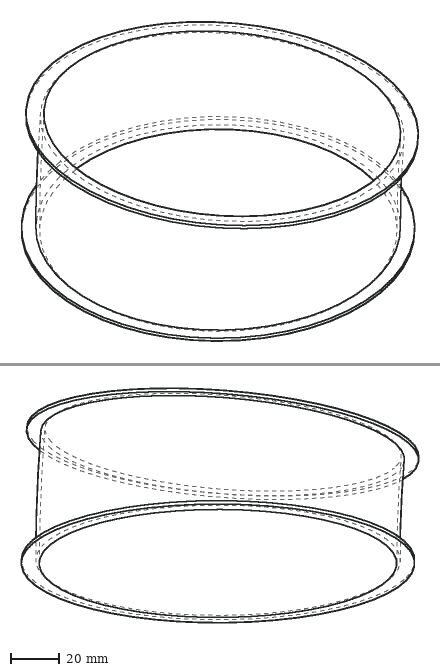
import cadquery as cq
import math

flange_diameter = 163.5
tube_outer_diameter = 151.5
wall = 1.5
flange_thickness = 1.5
bend_angle = 5.0
overall_height = 59.7

bend_radians = math.radians(bend_angle)
rim_rise = flange_diameter / 2 * math.sin(bend_radians)
top_center_z = overall_height - rim_rise
bend_radius = top_center_z / math.sin(bend_radians)
top_center_y = bend_radius * (1 - math.cos(bend_radians))

bore_diameter = tube_outer_diameter - 2 * wall


def bent_cylinder(diameter):
    """Sweep a disc around the bend axis, which is parallel to X."""
    return (
        cq.Workplane("XY")
        .circle(diameter / 2)
        .revolve(bend_angle, (0, bend_radius, 0), (-1, bend_radius, 0))
    )


lower_flange = cq.Workplane("XY").circle(flange_diameter / 2).extrude(flange_thickness)

top_plane = cq.Plane(
    origin=(0, top_center_y, top_center_z),
    xDir=(1, 0, 0),
    normal=(0, math.sin(bend_radians), math.cos(bend_radians)),
)
upper_flange = cq.Workplane(top_plane).circle(flange_diameter / 2).extrude(-flange_thickness)

outer_body = bent_cylinder(tube_outer_diameter).union(lower_flange).union(upper_flange)
result = outer_body.cut(bent_cylinder(bore_diameter))